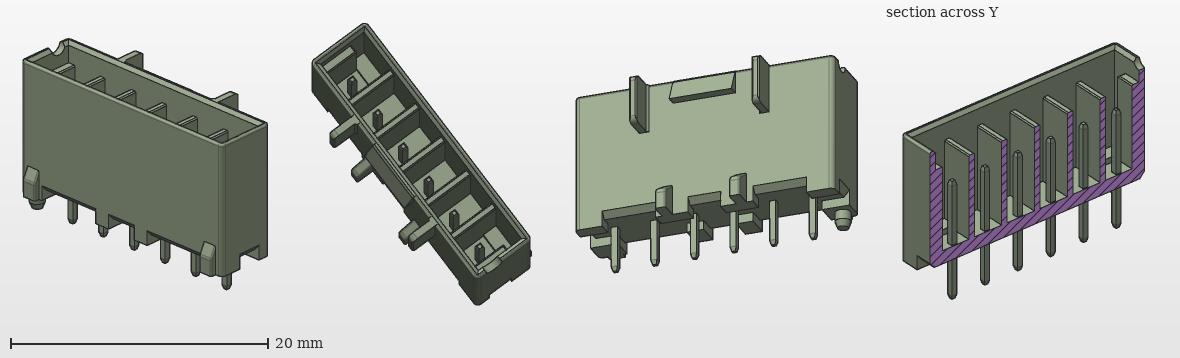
import cadquery as cq
import math


LENGTH = 21.6
DEPTH = 5.4
HEIGHT = 11.5
WALL = 0.6
CORNER_RADIUS = 0.4
RIM_RADIUS = 0.2
MOUTH_CHAMFER = 0.3
FLOOR_TOP = 2.0
KEYHOLE_RADIUS = 0.75
KEYHOLE_Y = 0.97

CLEARANCE = 0.75
NOTCH_RISE = 0.55
NOTCH_RUN = 0.48
CHANNEL_FRONT_Y = -0.7
CHANNEL_BACK_Y = 1.47
END_LEG = 2.3
MIDDLE_LEG_INNER = 1.35
FRONT_LEG_OUTER = 2.76
BACK_LEG_OUTER = 4.05

PIN_COUNT = 6
PIN_SPAN = 16.5
PITCH = PIN_SPAN / (PIN_COUNT - 1)
PIN_WIDTH = 0.52
PIN_TIP_WIDTH = 0.3
PIN_TIP = 0.37
PIN_Y = 0.5
PIN_BOTTOM = -3.0
PIN_TOP = 7.78

DIVIDER_WIDTH = 0.6
DIVIDER_TOP = 9.68
DIVIDER_CHAMFER = 0.1
LEDGE_INSET = 1.3
LEDGE_FRONT_Y = -0.86
STEP_TOP = 2.5

RIB_EDGE_RADIUS = 0.13
RIB_SHOULDER_RADIUS = 0.5
FRONT_RIB_WIDTH = 1.3
FRONT_RIB_X = 9.45
FRONT_RIB_REACH = 0.5
FRONT_RIB_SHOULDER = 1.47
BACK_RIB_WIDTH = 0.86
BACK_RIB_X = 3.09
BACK_RIB_REACH = 1.51
BACK_RIB_SHOULDER = 1.6
RIB_TOP = 2.5

TAB_THICKNESS = 0.6
TAB_OUTER_X = 5.4
TAB_REACH = 2.2
TAB_HEIGHT = 4.05
TAB_RADIUS = 0.5
TAB_EDGE = 0.1
TAB_GUSSET = 0.17
LATCH_HALF_LENGTH = 2.6
LATCH_REACH = 0.86
LATCH_LIP = 0.09
LATCH_TOP_CHAMFER = 0.17
LATCH_RAMP_ANGLE = 66.0

PEG_X = -9.83
PEG_Y = -1.84
PEG_RADIUS = 0.65
PEG_TIP_RADIUS = 0.43
PEG_SHANK = 0.78
PEG_LENGTH = 1.32

FRONT_Y = -DEPTH / 2
BACK_Y = DEPTH / 2
END_X = LENGTH / 2
INNER_LENGTH = LENGTH - 2 * WALL
INNER_DEPTH = DEPTH - 2 * WALL


def block(x_min, x_max, y_min, y_max, z_min, z_max):
    size = (x_max - x_min, y_max - y_min, z_max - z_min)
    return cq.Workplane("XY").box(*size, centered=False).translate((x_min, y_min, z_min))


def side_profile(points, x_min, x_max):
    """Extrude a (y, z) outline along x."""
    sketch = cq.Workplane("YZ", origin=(x_min, 0, 0)).polyline(points).close()
    return sketch.extrude(x_max - x_min)


def mirrored(solid):
    return solid.union(solid.mirror("YZ"))


def make_shell():
    shell = cq.Workplane("XY").box(LENGTH, DEPTH, HEIGHT, centered=(True, True, False))
    shell = shell.edges("|Z").fillet(CORNER_RADIUS)
    shell = shell.faces(">Z").edges().fillet(RIM_RADIUS)
    cavity = (
        cq.Workplane("XY", origin=(0, 0, FLOOR_TOP))
        .rect(INNER_LENGTH, INNER_DEPTH)
        .extrude(HEIGHT - FLOOR_TOP)
    )
    mouth = (
        cq.Workplane("XY", origin=(0, 0, HEIGHT))
        .rect(INNER_LENGTH + 2 * MOUTH_CHAMFER, INNER_DEPTH + 2 * MOUTH_CHAMFER)
        .workplane(offset=-MOUTH_CHAMFER)
        .rect(INNER_LENGTH, INNER_DEPTH)
        .loft(ruled=True)
    )
    keyhole = (
        cq.Workplane("YZ", origin=(-END_X, KEYHOLE_Y, HEIGHT))
        .circle(KEYHOLE_RADIUS)
        .extrude(WALL)
    )
    return shell.cut(cavity).cut(mouth).cut(keyhole)


def make_notch(width, depth):
    """Notch entering from y = 0 towards +y, with a ceiling that slopes down inwards."""
    outline = [
        (0, 0),
        (depth, 0),
        (depth, CLEARANCE),
        (NOTCH_RUN, CLEARANCE),
        (0, CLEARANCE + NOTCH_RISE),
    ]
    return side_profile(outline, -width / 2, width / 2)


def make_underside():
    channel_depth = CHANNEL_BACK_Y - CHANNEL_FRONT_Y
    cuts = block(-END_X, END_X, CHANNEL_FRONT_Y, CHANNEL_BACK_Y, 0, CLEARANCE)

    end_notch = make_notch(channel_depth, WALL + NOTCH_RUN)
    end_notch = end_notch.rotate((0, 0, 0), (0, 0, 1), -90)
    end_notch = end_notch.translate((-END_X, (CHANNEL_FRONT_Y + CHANNEL_BACK_Y) / 2, 0))
    cuts = cuts.union(mirrored(end_notch))

    front_depth = CHANNEL_FRONT_Y - FRONT_Y
    back_depth = BACK_Y - CHANNEL_BACK_Y
    end_leg_x = END_X - END_LEG
    sides = (
        (front_depth, FRONT_LEG_OUTER, FRONT_Y, 0),
        (back_depth, BACK_LEG_OUTER, BACK_Y, 180),
    )
    for depth, leg_outer, face_y, turn in sides:
        side_notch = make_notch(end_leg_x - leg_outer, depth)
        side_notch = side_notch.translate(((end_leg_x + leg_outer) / 2, 0, 0))
        notches = mirrored(side_notch).union(make_notch(2 * MIDDLE_LEG_INNER, depth))
        notches = notches.rotate((0, 0, 0), (0, 0, 1), turn)
        cuts = cuts.union(notches.translate((0, face_y, 0)))
    return cuts


def make_pin(x):
    def taper(z_base, direction):
        return (
            cq.Workplane("XY", origin=(x, PIN_Y, z_base))
            .rect(PIN_WIDTH, PIN_WIDTH)
            .workplane(offset=direction * PIN_TIP)
            .rect(PIN_TIP_WIDTH, PIN_TIP_WIDTH)
            .loft(ruled=True)
        )

    shank_bottom = PIN_BOTTOM + PIN_TIP
    shank_top = PIN_TOP - PIN_TIP
    shank = (
        cq.Workplane("XY", origin=(x, PIN_Y, shank_bottom))
        .rect(PIN_WIDTH, PIN_WIDTH)
        .extrude(shank_top - shank_bottom)
    )
    return shank.union(taper(shank_top, 1)).union(taper(shank_bottom, -1))


def make_divider(x):
    half = DIVIDER_WIDTH / 2
    wall_y = BACK_Y - WALL
    divider = block(x - half, x + half, -wall_y, wall_y, CLEARANCE, DIVIDER_TOP)
    return divider.edges("|Y and >Z").chamfer(DIVIDER_CHAMFER)


def make_end_cell():
    """Ledge and keying step of the left-hand end cell."""
    wall_x = -END_X + WALL
    wall_y = BACK_Y - WALL
    ledge = block(wall_x, -END_X + LEDGE_INSET, LEDGE_FRONT_Y, wall_y, CLEARANCE, DIVIDER_TOP)
    ledge = ledge.faces(">Z").edges(">X or <Y").chamfer(DIVIDER_CHAMFER)
    divider_x = -(PIN_COUNT / 2 - 1) * PITCH
    step = block(wall_x, divider_x, -wall_y, LEDGE_FRONT_Y, CLEARANCE, STEP_TOP)
    return ledge.union(step)


def make_rib(width, reach, shoulder):
    """Rib standing out from y = 0 towards -y with a sloped top and rounded outer edges."""
    outline = [(0, 0), (-reach, 0), (-reach, shoulder), (0, RIB_TOP)]
    rib = side_profile(outline, -width / 2, width / 2)
    rib = rib.faces("<Y").edges(">Z").fillet(RIB_SHOULDER_RADIUS)
    return rib.faces("<Y").edges("|Z").fillet(RIB_EDGE_RADIUS)


def make_ribs():
    front = make_rib(FRONT_RIB_WIDTH, FRONT_RIB_REACH, FRONT_RIB_SHOULDER)
    front = front.translate((FRONT_RIB_X, FRONT_Y, 0))
    back = make_rib(BACK_RIB_WIDTH, BACK_RIB_REACH, BACK_RIB_SHOULDER)
    back = back.rotate((0, 0, 0), (0, 0, 1), 180)
    back = back.translate((BACK_RIB_X, BACK_Y, 0))
    return mirrored(front).union(mirrored(back))


def make_tab():
    inner_x = TAB_OUTER_X - TAB_THICKNESS
    root_y = BACK_Y - RIM_RADIUS
    end_y = BACK_Y + TAB_REACH
    bottom = HEIGHT - TAB_HEIGHT
    plan = [
        (TAB_OUTER_X, root_y),
        (TAB_OUTER_X, end_y - TAB_EDGE),
        (TAB_OUTER_X - TAB_EDGE, end_y),
        (inner_x + TAB_EDGE, end_y),
        (inner_x, end_y - TAB_EDGE),
        (inner_x, BACK_Y + TAB_GUSSET),
        (inner_x - TAB_GUSSET, BACK_Y),
        (inner_x - TAB_GUSSET, root_y),
    ]
    tab = cq.Workplane("XY", origin=(0, 0, bottom)).polyline(plan).close().extrude(TAB_HEIGHT)
    rounded = block(inner_x - TAB_GUSSET, TAB_OUTER_X, root_y, end_y, bottom, HEIGHT)
    rounded = rounded.edges("|X and >Y").fillet(TAB_RADIUS)
    return tab.intersect(rounded)


def make_latch():
    ramp_top = HEIGHT - LATCH_TOP_CHAMFER
    ramp_drop = (LATCH_REACH - LATCH_LIP) * math.tan(math.radians(LATCH_RAMP_ANGLE))
    ramp_bottom = ramp_top - ramp_drop
    lip_y = BACK_Y + LATCH_LIP
    chamfer_y = lip_y - LATCH_TOP_CHAMFER
    root_y = BACK_Y - RIM_RADIUS
    outline = [
        (root_y, ramp_bottom),
        (BACK_Y + LATCH_REACH, ramp_bottom),
        (lip_y, ramp_top),
        (chamfer_y, HEIGHT),
        (root_y, HEIGHT),
    ]
    return side_profile(outline, -LATCH_HALF_LENGTH, LATCH_HALF_LENGTH)


def make_peg():
    outline = [
        (0, 0),
        (PEG_RADIUS, 0),
        (PEG_RADIUS, -PEG_SHANK),
        (PEG_TIP_RADIUS, -PEG_LENGTH),
        (0, -PEG_LENGTH),
    ]
    peg = cq.Workplane("XZ").polyline(outline).close().revolve(360, (0, 0, 0), (0, 1, 0))
    return peg.translate((PEG_X, PEG_Y, 0))


result = make_shell()
for index in range(PIN_COUNT - 1):
    result = result.union(make_divider((index - (PIN_COUNT - 2) / 2) * PITCH))
result = result.union(mirrored(make_end_cell()))
result = result.union(make_latch())
result = result.union(mirrored(make_tab()))
result = result.cut(make_underside())
result = result.union(make_ribs())
result = result.union(make_peg())
for index in range(PIN_COUNT):
    result = result.union(make_pin((index - (PIN_COUNT - 1) / 2) * PITCH))